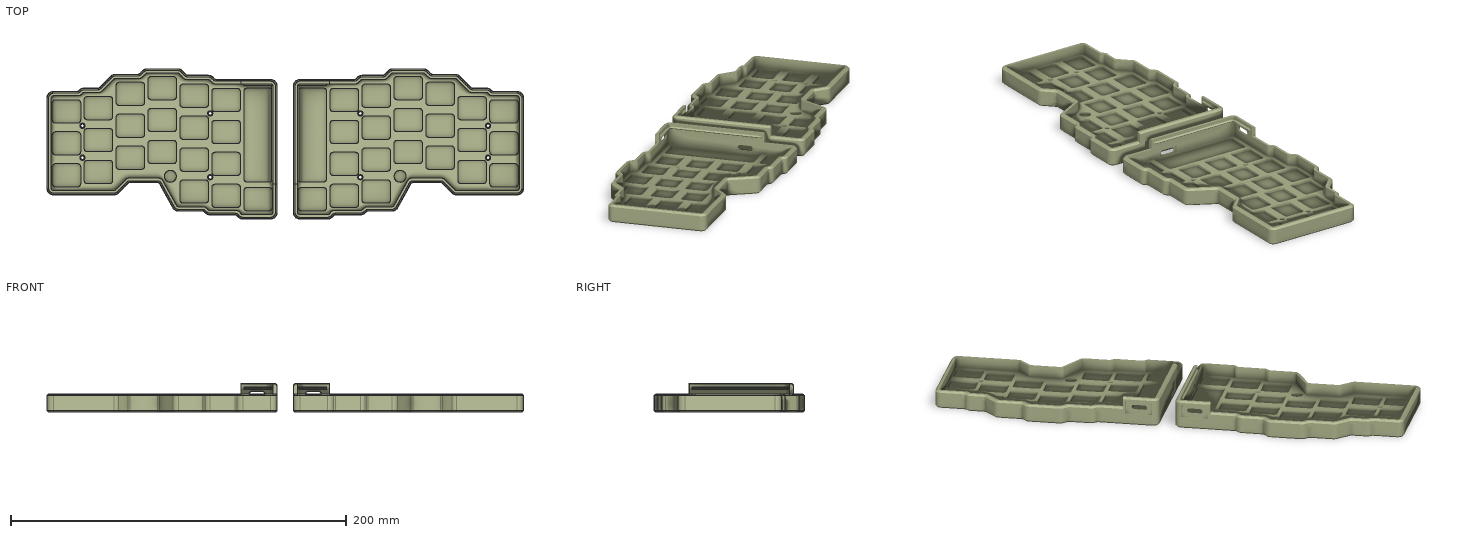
import cadquery as cq

total_length = 284.5
total_width = 89.5
gap_between_halves = 9.7
rim_height = 10.8
riser_height = 17.0
floor_height = 4.0
edge_bevel = 1.0

wall_thickness = 2.5
corner_radius = 4.0
inside_corner_radius = 1.5

key_pitch = 19.0
pocket_width = 17.0
pocket_length = 14.0
pocket_depth = 2.0
pocket_corner_radius = 2.0
first_column_inset = 11.7
key_columns = [(19.3, 3), (21.3, 3), (30.0, 3), (33.3, 3), (28.7, 4), (26.2, 4)]
thumb_key_y = -33.0
controller_pocket_top = 33.3
controller_pocket_bottom = -22.8

screw_diameter = 2.2
screw_head_diameter = 3.0
screw_head_depth = 2.0
outer_screw_top_y = 10.8
inner_screw_top_y = 18.2

round_recess_diameter = 7.0
round_recess_place = (-68.5, -19.3)

riser_left = -26.5
riser_bottom = -24.0
ridge_low = 13.7
ridge_high = 15.0
ridge_reach = 0.9
ridge_inset = 1.7

port_width = 9.5
port_height = 3.0
plug_width = 16.2
plug_height = 8.3
plug_depth = 1.5
socket_width = 12.0
socket_height = 4.8
socket_depth = 0.5
back_port_x = -16.8
back_port_z = 10.8
side_port_y = -12.0
side_port_z = 6.3

left_x = -total_length / 2
right_x = -gap_between_halves / 2
top_y = total_width / 2
bottom_y = -total_width / 2
back_y = 38.5
column_x = [left_x + first_column_inset + i * key_pitch for i in range(len(key_columns) + 1)]
inmost_column_x = column_x[-1]
outer_screw_x = (column_x[0] + column_x[1]) / 2
inner_screw_x = (column_x[4] + column_x[5]) / 2
screw_places = [
    (outer_screw_x, outer_screw_top_y),
    (outer_screw_x, outer_screw_top_y - key_pitch),
    (inner_screw_x, inner_screw_top_y),
    (inner_screw_x, inner_screw_top_y - 2 * key_pitch),
]

outline_points = [
    (left_x, -30.5), (left_x, 31.3), (-123.5, 31.3), (-122.0, 33.3), (-111.2, 33.3), (-103.0, 41.5),
    (-87.3, 41.5), (-84.0, top_y), (-62.5, top_y), (-59.0, 41.0), (-44.5, 41.0), (-41.8, back_y),
    (right_x, back_y), (right_x, bottom_y), (-28.5, bottom_y), (-29.0, -42.5), (-46.5, -42.5),
    (-49.0, -40.0), (-66.0, -40.0), (-75.5, -23.0), (-93.3, -23.0), (-100.7, -30.5),
]


def outline(inset):
    """Tray outline moved inward, with rounded outward and inward corners."""
    core = cq.Workplane("XY").polyline(outline_points).close().offset2D(-corner_radius)
    swollen = core.offset2D(corner_radius - inset + inside_corner_radius)
    return swollen.offset2D(-inside_corner_radius)


def bevelled_block(height):
    """Solid block of the tray outline with bevelled lower and upper edges."""
    return outline(0).extrude(height).faces("<Z or >Z").chamfer(edge_bevel)


def riser_block():
    """Higher part of the tray at its back inner corner."""
    width = right_x - riser_left
    length = back_y - riser_bottom
    zone = cq.Workplane("XY").box(width, length, riser_height, centered=False)
    return bevelled_block(riser_height).intersect(zone.translate((riser_left, riser_bottom, 0)))


def cavity():
    """Space inside the wall, above the floor."""
    return outline(wall_thickness).extrude(riser_height).translate((0, 0, floor_height))


def pocket(x, y, length):
    """Rounded rectangular pocket in the floor."""
    block = cq.Workplane("XY").box(pocket_width, length, pocket_depth)
    rounded = block.edges("|Z").fillet(pocket_corner_radius)
    return rounded.translate((x, y, floor_height - pocket_depth / 2))


def floor_pockets():
    """One pocket for each key and a long one for the controller."""
    pockets = []
    for x, (first_y, key_count) in zip(column_x, key_columns):
        for row in range(key_count):
            pockets.append(pocket(x, first_y - row * key_pitch, pocket_length))
    pockets.append(pocket(inmost_column_x, thumb_key_y, pocket_length))
    controller_y = (controller_pocket_top + controller_pocket_bottom) / 2
    controller_length = controller_pocket_top - controller_pocket_bottom
    pockets.append(pocket(inmost_column_x, controller_y, controller_length))
    return pockets


def floor_holes():
    """Counterbored screw holes through the floor and one blind round recess."""
    floor = cq.Workplane("XY").workplane(offset=floor_height)
    screws = floor.pushPoints(screw_places).circle(screw_diameter / 2).extrude(-floor_height)
    heads = floor.pushPoints(screw_places).circle(screw_head_diameter / 2).extrude(-screw_head_depth)
    recess = floor.pushPoints([round_recess_place]).circle(round_recess_diameter / 2)
    return [screws, heads, recess.extrude(-pocket_depth)]


def ridge():
    """Triangular ridge along the two inner faces of the riser."""
    middle = (ridge_low + ridge_high) / 2
    half_height = (ridge_high - ridge_low) / 2
    inner_x = right_x - wall_thickness
    inner_y = back_y - wall_thickness
    start_x = riser_left + ridge_inset
    start_y = riser_bottom + ridge_inset
    profile = [(0, -half_height), (-ridge_reach, 0), (0, half_height)]
    side = cq.Workplane("XZ").polyline(profile).close().extrude(start_y - inner_y)
    back = cq.Workplane("YZ").polyline(profile).close().extrude(inner_x - start_x)
    side = side.translate((inner_x, start_y, middle))
    back = back.translate((start_x, inner_y, middle))
    return side.union(back)


def port(x, y, z, turn):
    """Slot with round ends through a wall, with a rectangular plug recess on the outer face."""
    slot = cq.Workplane("XZ").slot2D(port_width, port_height).extrude(wall_thickness, both=True)
    plug = cq.Workplane("XY").box(plug_width, 2 * plug_depth, plug_height)
    cutter = slot.union(plug)
    return cutter.rotate((0, 0, 0), (0, 0, 1), turn).translate((x, y, z))


def socket_recess():
    """Shallow recess in the inner face behind the side port, standing on the floor."""
    recess = cq.Workplane("XY").box(2 * socket_depth, socket_width, socket_height)
    return recess.translate((right_x - wall_thickness, side_port_y, floor_height + socket_height / 2))


def left_tray():
    body = bevelled_block(rim_height).union(riser_block()).cut(cavity())
    for cutter in floor_pockets() + floor_holes():
        body = body.cut(cutter)
    body = body.union(ridge())
    body = body.cut(port(back_port_x, back_y, back_port_z, 0))
    body = body.cut(port(right_x, side_port_y, side_port_z, -90))
    return body.cut(socket_recess())


def right_tray():
    """Mirror image of the left tray."""
    return left_tray().mirror("YZ")


result = cq.Compound.makeCompound([left_tray().val(), right_tray().val()])